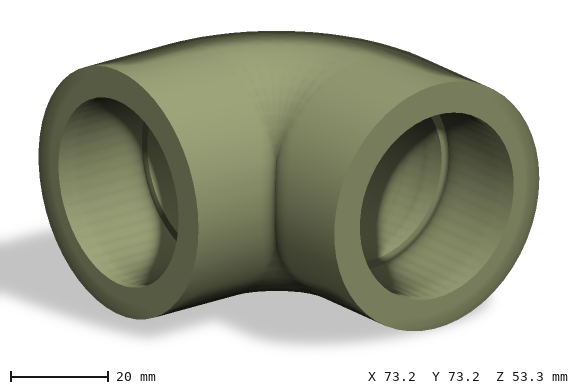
import cadquery as cq
import math

overall_size = 73.15
outer_diameter = 53.3
socket_diameter = 40.0
bore_diameter = 36.3
collar_length = 21.65
socket_depth = collar_length

outer_radius = outer_diameter / 2
face_distance = overall_size - outer_radius
bend_radius = face_distance - collar_length

mouth_planes = [
    cq.Plane(origin=(0, -face_distance, 0), xDir=(1, 0, 0), normal=(0, 1, 0)),
    cq.Plane(origin=(face_distance, 0, 0), xDir=(0, 1, 0), normal=(-1, 0, 0)),
]
bend_plane = cq.Plane(origin=(bend_radius, -bend_radius, 0), xDir=(1, 0, 0), normal=(0, -1, 0))


def sweep_bend(profile):
    """Turn a profile through 90 degrees about the bend axis, which is parallel to Z."""
    return profile.revolve(90, (0, 0, 0), (0, -1, 0))


def outer_bend():
    """Bend wider than its centreline radius, so its circle is cut off at the bend axis."""
    half_chord = math.sqrt(outer_radius**2 - bend_radius**2)
    profile = (
        cq.Workplane(bend_plane)
        .moveTo(0, half_chord)
        .threePointArc((-bend_radius - outer_radius, 0), (0, -half_chord))
        .close()
    )
    return sweep_bend(profile)


def bore_bend():
    """Round passage that joins the two sockets."""
    profile = cq.Workplane(bend_plane).moveTo(-bend_radius, 0).circle(bore_diameter / 2)
    return sweep_bend(profile)


def mouth_cylinder(plane, diameter, length):
    return cq.Workplane(plane).circle(diameter / 2).extrude(length)


body = outer_bend()
for plane in mouth_planes:
    body = body.union(mouth_cylinder(plane, outer_diameter, collar_length))

body = body.cut(bore_bend())
for plane in mouth_planes:
    body = body.cut(mouth_cylinder(plane, socket_diameter, socket_depth))

result = body